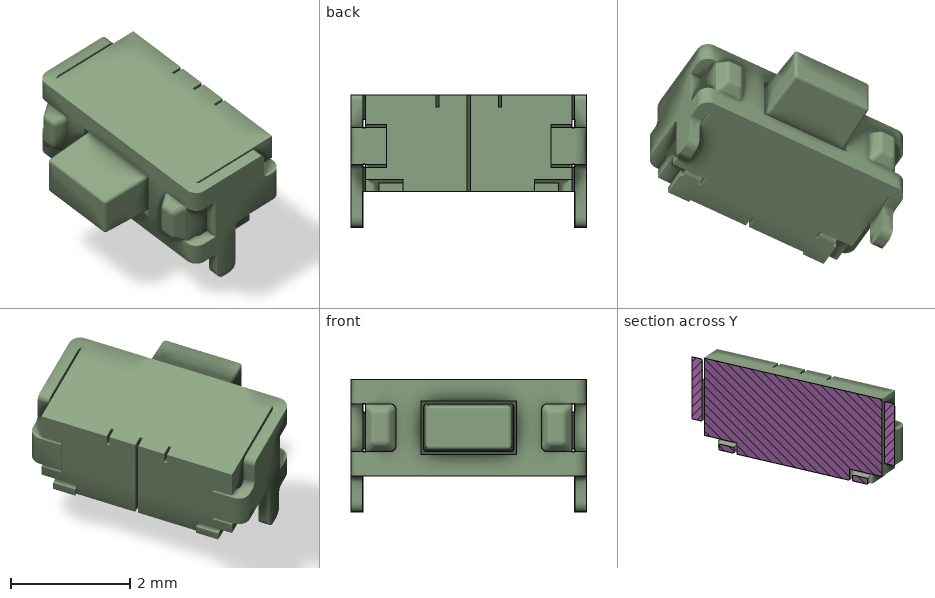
import cadquery as cq
import math

width = 3.95
depth = 1.95
height = 1.62
sheet = 0.2
bend_outer = 0.2
bend_inner = 0.1
cut_radius = 0.1
middle_height = height / 2

side_back = 1.55
flange_bottom = 0.455
flange_top = 1.07
flange_length = 0.6
leg_front = 0.495
leg_back = 0.905
leg_length = 0.6
leg_tip_radius = 0.15

window_inner = 1.22
window_height = 0.8
window_depth = 0.45

opening_width = 1.605
opening_height = 0.9

housing_width = 3.47
housing_front = sheet
housing_back = depth
flange_clearance = 0.05

lug_width = housing_width / 2 - window_inner
lug_middle = window_inner + lug_width / 2
lug_reach = 0.2
lug_taper = 30.0
lug_radius = 0.1

button_width = 1.51
button_height = 0.8
button_reach = 0.9
button_taper = 2.0
button_radius = 0.05

slot_depth = 0.2
middle_slot_width = 0.055
side_slot_width = 0.05
side_slot_height = 0.2
slot_span = 1.1

terminal_middle = 1.305
terminal_width = 0.403
terminal_height = 0.145
terminal_length = 0.41
terminal_reach = 0.047
terminal_point_height = 0.09
terminal_point_radius = 0.1
terminal_point_inset = 0.05
notch_length = 0.51
notch_height = 0.205


def block(x_range, y_range, z_range):
    """Box between two limits along each axis."""
    low, high = zip(x_range, y_range, z_range)
    size = [b - a for a, b in zip(low, high)]
    return cq.Workplane("XY").box(*size, centered=False).translate(low)


def with_mirror(shape):
    """The shape of one side together with its mirror image on the other side."""
    return shape.union(shape.mirror("YZ"))


def bent_wall(bottom, top):
    """Sheet bent around the front, both sides and the ends of the back."""
    y_middle = depth / 2
    rise = top - bottom
    plane = cq.Workplane("XY", origin=(0, y_middle, bottom))
    outside = plane.rect(width, depth).extrude(rise).edges("|Z").fillet(bend_outer)
    inside = plane.rect(width - 2 * sheet, depth - 2 * sheet).extrude(rise)
    inside = inside.edges("|Z").fillet(bend_inner)
    flange_end = width / 2 - flange_length
    back_gap = block((-flange_end, flange_end), (y_middle, depth), (bottom, top))
    return outside.cut(inside).cut(back_gap)


def side_profile():
    """Outline of the clip's side walls with their legs, extended over the whole width."""
    main = block((-width / 2, width / 2), (0, side_back), (flange_bottom, height))
    main = main.edges("|X and >Y and >Z").fillet(cut_radius)
    lower = block((-width / 2, width / 2), (0, leg_back), (0, flange_bottom))
    flange = block((-width / 2, width / 2), (side_back, depth), (flange_bottom, flange_top))
    leg = block((-width / 2, width / 2), (leg_front, leg_back), (-leg_length, 0))
    leg = leg.edges("|X and <Z").fillet(leg_tip_radius)
    profile = main.union(lower).union(flange).union(leg).clean()
    inner_corners = [(side_back, flange_top), (leg_back, flange_bottom), (leg_front, 0)]
    for y, z in inner_corners:
        corner = cq.selectors.NearestToPointSelector((0, y, z))
        profile = profile.edges("|X").edges(corner).fillet(cut_radius)
    return profile


def window_block(outer, front, back):
    """Block with the window's height and inner edge on the -X side, out to x = -outer."""
    bottom = middle_height - window_height / 2
    shape = block((-outer, -window_inner), (front, back), (bottom, bottom + window_height))
    return shape.edges("|Y and >X").fillet(cut_radius)


def make_clip():
    clip = bent_wall(-leg_length, height).intersect(side_profile())
    clip = clip.cut(with_mirror(window_block(width / 2, 0, window_depth)))
    opening = cq.Workplane("XZ", origin=(0, 0, middle_height))
    opening = opening.rect(opening_width, opening_height).extrude(-sheet)
    return clip.cut(opening)


def make_lug():
    """Lug on the -X side: it tapers from the housing's front and is trimmed to the window."""
    growth = 2 * housing_front * math.tan(math.radians(lug_taper))
    plane = cq.Workplane("XZ", origin=(-lug_middle, housing_front, middle_height))
    lug = plane.rect(lug_width + growth, window_height + growth)
    lug = lug.extrude(housing_front + lug_reach, taper=lug_taper)
    lug = lug.edges("not >Y").fillet(lug_radius)
    return lug.intersect(window_block(housing_width / 2, -lug_reach, housing_front))


def make_button():
    plane = cq.Workplane("XZ", origin=(0, housing_front, middle_height))
    button = plane.rect(button_width, button_height)
    button = button.extrude(housing_front + button_reach, taper=button_taper)
    return button.edges("not >Y").fillet(button_radius)


def flange_pocket():
    """Pockets for the back flanges, with clearance above and below them and a rounded outer edge."""
    bottom = flange_bottom - flange_clearance
    top = flange_top + flange_clearance
    half_width = housing_width / 2
    y_middle = depth / 2
    flange_end = width / 2 - flange_length
    side = block((-half_width, -flange_end), (y_middle, housing_back), (bottom, top))
    core = block((-half_width, 0), (y_middle, housing_back - sheet), (bottom, top))
    core = core.edges("|Z and <X and >Y").fillet(bend_inner)
    return with_mirror(side.cut(core))


def back_slots():
    """Slot through the full height in the middle and a shallow slot on each side of it."""
    slot_front = housing_back - slot_depth
    half_middle = middle_slot_width / 2
    middle = block((-half_middle, half_middle), (slot_front, housing_back), (0, height))
    outer = slot_span / 2
    side = block(
        (-outer, side_slot_width - outer),
        (slot_front, housing_back),
        (height - side_slot_height, height),
    )
    return middle.union(with_mirror(side))


def terminal_notch():
    """Notch at the lower back corner on the -X side, as far as the terminal's inner face."""
    inner = terminal_middle - terminal_width / 2
    return block(
        (-housing_width / 2, -inner),
        (housing_back - notch_length, housing_back),
        (0, notch_height),
    )


def make_terminal():
    """Terminal on the -X side: a flat bar with a narrower point against the notch's front wall."""
    outer = terminal_middle + terminal_width / 2
    inner = terminal_middle - terminal_width / 2
    back = housing_back + terminal_reach
    front = back - terminal_length
    bar = block((-outer, -inner), (front, back), (0, terminal_height))
    point_y = housing_back - notch_length
    point_width = terminal_width - 2 * terminal_point_inset
    point = (
        cq.Workplane("YZ", origin=(-terminal_middle - point_width / 2, 0, 0))
        .moveTo(front, 0)
        .lineTo(front, terminal_height)
        .lineTo(point_y, terminal_point_height)
        .radiusArc((point_y + terminal_point_height, 0), -terminal_point_radius)
        .close()
        .extrude(point_width)
    )
    return bar.union(point)


def make_housing(clip):
    housing = block(
        (-housing_width / 2, housing_width / 2), (housing_front, housing_back), (0, height)
    )
    housing = housing.cut(flange_pocket()).cut(back_slots())
    housing = housing.cut(with_mirror(terminal_notch()))
    housing = housing.union(with_mirror(make_terminal()))
    housing = housing.union(with_mirror(make_lug())).union(make_button())
    return housing.cut(clip)


clip = make_clip()
housing = make_housing(clip)
result = cq.Compound.makeCompound([clip.solids().val(), housing.solids().val()])